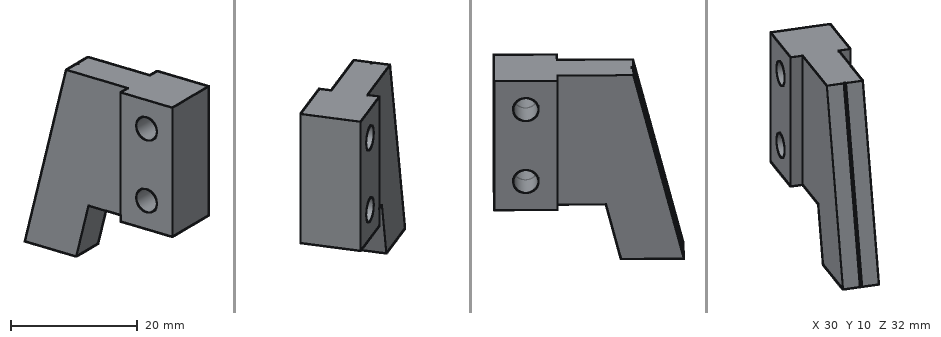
import cadquery as cq

length = 30.0
width = 10.0
height = 32.0

block_length = 10.0
block_height = 22.5
block_start = length - block_length
block_bottom = height - block_height

blade_thickness = 6.0
blade_foot_length = 10.0
slant_run = 8.0

groove_width = 0.4
groove_depth = 0.3

hole_diameter = 4.0
hole_edge_distance = 5.0
hole_spacing = 12.5


def extrude_profile(points, thickness):
    """Extrude an XZ outline symmetrically about the Y = 0 plane."""
    return cq.Workplane("XZ").polyline(points).close().extrude(thickness / 2, both=True)


rear_edge_top_x = blade_foot_length + slant_run * block_bottom / height
blade = extrude_profile(
    [
        (0, 0),
        (blade_foot_length, 0),
        (rear_edge_top_x, block_bottom),
        (length, block_bottom),
        (length, height),
        (slant_run, height),
    ],
    blade_thickness,
)

block = (
    cq.Workplane("XY")
    .box(block_length, width, block_height, centered=(False, True, False))
    .translate((block_start, 0, block_bottom))
)

groove = (
    cq.Workplane("XY")
    .polyline([(0, -groove_width / 2), (groove_depth, 0), (0, groove_width / 2)])
    .close()
    .sweep(cq.Workplane("XZ").lineTo(slant_run, height))
)

hole_x = length - hole_edge_distance
upper_hole_z = height - hole_edge_distance
holes = (
    cq.Workplane("XZ")
    .pushPoints([(hole_x, upper_hole_z), (hole_x, upper_hole_z - hole_spacing)])
    .circle(hole_diameter / 2)
    .extrude(width, both=True)
)

result = blade.union(block).cut(groove).cut(holes)